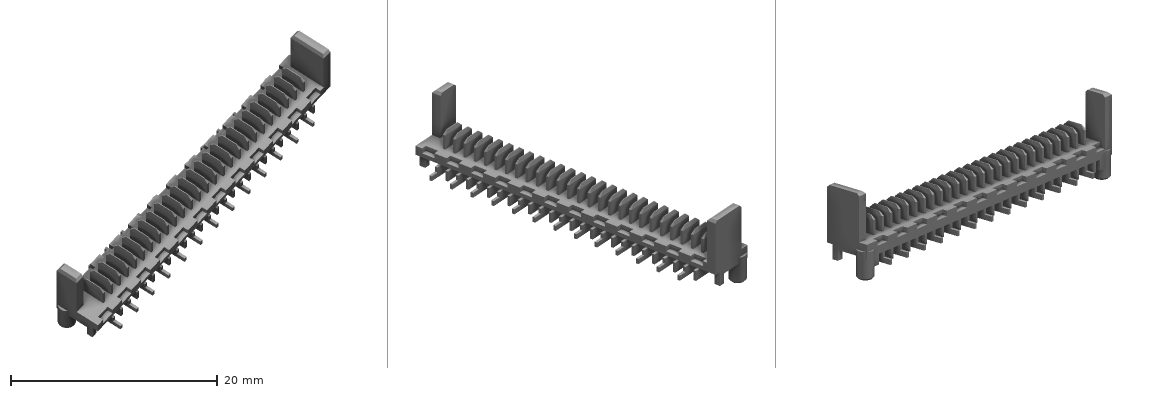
import cadquery as cq


bar_width = 5.05
bar_length = 36.9
bar_bottom = 1.12
bar_top = 2.58
side_x = bar_width / 2
end_y = bar_length / 2

undercut_width = 0.67
undercut_top = 1.57

recess_count = 12
recess_row_span = 33.0
recess_pitch = recess_row_span / (recess_count - 1)
recess_size_x = 0.6
recess_size_y = 1.5
recess_depth = 0.55
recess_row_center_y = -0.37

post_top = 7.65
post_depth = 1.05
post_chamfer = 0.25
front_post_right_x = -0.07
back_post_left_x = -1.55

peg_diameter = 1.8
peg_side_overhang = 0.15
peg_end_overhang = 0.25
peg_x = -side_x - peg_side_overhang + peg_diameter / 2
peg_y = end_y + peg_end_overhang - peg_diameter / 2
peg_top = 1.8
peg_bottom = -1.25
peg_chamfer = 0.22

foot_size = 0.67
peg_foot_inner_y = 16.65

contact_count = 26
contact_span = 31.75
contact_pitch = contact_span / (contact_count - 1)
contact_thickness = 0.3
contact_reach = 3.45
lead_height = 0.55
blade_half_width = 1.3
blade_shoulder = 4.15
blade_top = 4.6
blade_tip_half_width = 0.82
blade_tip_thickness = 0.07


def box(x0, x1, y0, y1, z0, z1):
    """Axis-aligned box between two opposite corners."""
    return cq.Workplane("XY").box(x1 - x0, y1 - y0, z1 - z0, centered=False).translate((x0, y0, z0))


def make_bar():
    bar = box(-side_x, side_x, -end_y, end_y, bar_bottom, bar_top)
    undercut = box(side_x - undercut_width, side_x, -end_y, end_y, bar_bottom, undercut_top)
    bar = bar.cut(undercut)
    recesses = (
        cq.Workplane("XY", origin=(0, recess_row_center_y, bar_top))
        .rarray(bar_width - recess_size_x, recess_pitch, 2, recess_count)
        .rect(recess_size_x, recess_size_y)
        .extrude(-recess_depth)
    )
    return bar.cut(recesses)


def make_post(x0, x1, y0, base_z):
    """Guide post rising from base_z; its top is chamfered on every side but the +Y one."""
    post = box(x0, x1, y0, y0 + post_depth, base_z, post_top)
    return post.faces(">Z").edges("<X or >X or <Y").chamfer(post_chamfer)


def make_peg(y):
    peg = (
        cq.Workplane("XY", origin=(peg_x, y, peg_bottom))
        .circle(peg_diameter / 2)
        .extrude(peg_top - peg_bottom)
    )
    return peg.faces("<Z").chamfer(peg_chamfer)


def make_back_feet():
    """The two feet at the +Y end: one merging into the peg, one at the undercut."""
    peg_foot = box(-side_x, -side_x + foot_size, peg_foot_inner_y, peg_y, 0, bar_bottom)
    foot_right_x = side_x - undercut_width
    corner_foot = box(foot_right_x - foot_size, foot_right_x, end_y - foot_size, end_y, 0, bar_bottom)
    return peg_foot.union(corner_foot)


def make_contact():
    """Contact centred on Y = 0 with its solder lead pointing to -X."""
    shoulder_to_tip = blade_top - blade_shoulder
    blade = box(
        -blade_half_width, blade_half_width,
        -contact_thickness / 2, contact_thickness / 2,
        0, blade_shoulder,
    )
    tip = (
        cq.Workplane("XY", origin=(0, 0, blade_shoulder))
        .rect(2 * blade_half_width, contact_thickness)
        .workplane(offset=shoulder_to_tip)
        .rect(2 * blade_tip_half_width, blade_tip_thickness)
        .loft()
    )
    tail_profile = [
        (side_x, 0),
        (-contact_reach, 0),
        (-contact_reach, lead_height),
        (-side_x, lead_height),
        (-side_x, bar_bottom),
        (side_x, bar_bottom),
    ]
    tail = cq.Workplane("XZ").polyline(tail_profile).close().extrude(contact_thickness / 2, both=True)
    return blade.union(tip).union(tail)


result = make_bar()
result = result.union(make_post(-side_x, front_post_right_x, -end_y, bar_bottom))
result = result.union(make_post(back_post_left_x, side_x, end_y - post_depth, bar_top))

back_feet = make_back_feet()
result = result.union(back_feet).union(back_feet.mirror("XZ"))
for y in (-peg_y, peg_y):
    result = result.union(make_peg(y))

left_contact = make_contact()
right_contact = left_contact.mirror("YZ")
first_contact_y = contact_span / 2
for i in range(contact_count):
    contact = left_contact if i % 2 == 0 else right_contact
    result = result.union(contact.translate((0, first_contact_y - i * contact_pitch, 0)))